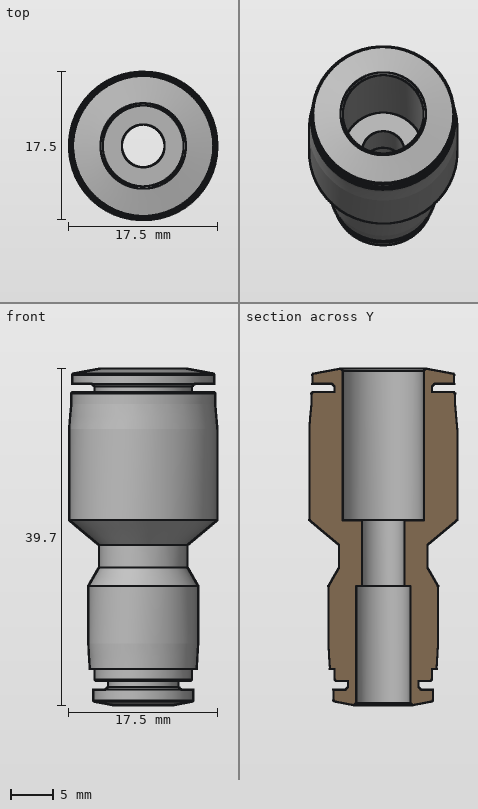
import cadquery as cq

length = 39.7

large_bore_d = 9.53
large_bore_chamfer = 0.28
large_collar_d = 16.8
large_collar_edge_d = 16.5
large_collar_edge_z = length - 0.6
large_collar_side_z = length - 0.75
large_collar_bottom_z = 37.87
large_neck_d = 11.5
large_neck_flare = 0.3

large_body_d = 17.5
large_rim_d = 17.0
large_rim_chamfer = 0.15
large_body_top_z = 36.92
large_rim_bottom_z = 35.5
large_taper_bottom_z = 32.55
large_body_bottom_z = 21.85

waist_d = 10.5
waist_top_z = 18.9
waist_bottom_z = 16.25

small_body_d = 13.0
small_body_top_z = 14.05
small_taper_top_z = 7.25
small_taper_end_d = 12.62
small_body_bottom_z = 4.3
seal_ring_d = 11.5
seal_ring_chamfer = 0.2
seal_ring_bottom_z = 2.85

small_neck_d = 8.35
small_neck_flare = 0.3
small_collar_d = 11.8
small_collar_top_z = 1.85
small_collar_side_z = 0.55
small_collar_edge_d = 11.5
small_collar_edge_z = 0.45
small_bore_d = 6.35
small_bore_chamfer = 0.28

passage_d = 5.0
large_bore_floor_z = large_body_bottom_z
small_bore_roof_z = small_body_top_z


def revolve_profile(diameter_height_pairs):
    """Revolve a stepped outline, given as (diameter, z) pairs, about Z."""
    points = [(diameter / 2, z) for diameter, z in diameter_height_pairs]
    axis_end_z = points[-1][1]
    axis_start_z = points[0][1]
    outline = [(0, axis_start_z)] + points + [(0, axis_end_z)]
    return cq.Workplane("XZ").polyline(outline).close().revolve(360, (0, 0), (0, 1))


def make_outside():
    small_end = [
        (small_bore_d + 2 * small_bore_chamfer, 0),
        (small_collar_edge_d, small_collar_edge_z),
        (small_collar_d, small_collar_side_z),
        (small_collar_d, small_collar_top_z),
        (small_neck_d + 2 * small_neck_flare, small_collar_top_z),
        (small_neck_d, small_collar_top_z + small_neck_flare),
        (small_neck_d, seal_ring_bottom_z),
        (seal_ring_d - 2 * seal_ring_chamfer, seal_ring_bottom_z),
        (seal_ring_d, seal_ring_bottom_z + seal_ring_chamfer),
        (seal_ring_d, small_body_bottom_z),
        (small_taper_end_d, small_body_bottom_z),
        (small_body_d, small_taper_top_z),
        (small_body_d, small_body_top_z),
    ]
    waist = [
        (waist_d, waist_bottom_z),
        (waist_d, waist_top_z),
    ]
    large_end = [
        (large_body_d, large_body_bottom_z),
        (large_body_d, large_taper_bottom_z),
        (large_rim_d, large_rim_bottom_z),
        (large_rim_d, large_body_top_z - large_rim_chamfer),
        (large_rim_d - 2 * large_rim_chamfer, large_body_top_z),
        (large_neck_d, large_body_top_z),
        (large_neck_d, large_collar_bottom_z - large_neck_flare),
        (large_neck_d + 2 * large_neck_flare, large_collar_bottom_z),
        (large_collar_d, large_collar_bottom_z),
        (large_collar_d, large_collar_side_z),
        (large_collar_edge_d, large_collar_edge_z),
        (large_bore_d + 2 * large_bore_chamfer, length),
    ]
    return revolve_profile(small_end + waist + large_end)


def make_passage():
    """Stepped through passage: a tube socket at each end and a narrow middle."""
    return revolve_profile([
        (small_bore_d + 2 * small_bore_chamfer, 0),
        (small_bore_d, small_bore_chamfer),
        (small_bore_d, small_bore_roof_z),
        (passage_d, small_bore_roof_z),
        (passage_d, large_bore_floor_z),
        (large_bore_d, large_bore_floor_z),
        (large_bore_d, length - large_bore_chamfer),
        (large_bore_d + 2 * large_bore_chamfer, length),
    ])


result = make_outside().cut(make_passage())